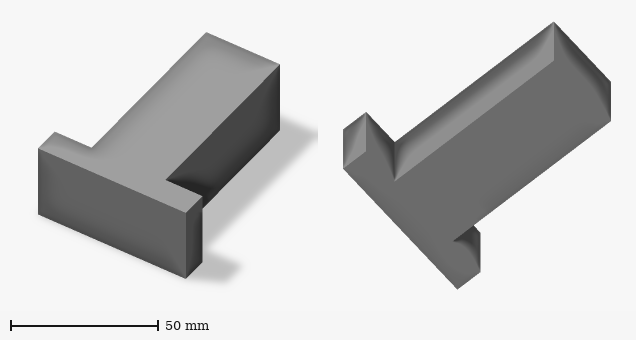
import cadquery as cq

length = 81.0
height = 30.0
flange_width = 60.0
flange_thickness = 10.3
stem_width = flange_width / 2

flange = cq.Workplane("XY").box(
    flange_width, flange_thickness, height, centered=(True, False, True)
)

stem = cq.Workplane("XY").box(
    stem_width, length, height, centered=(True, False, True)
)

result = flange.union(stem).clean()